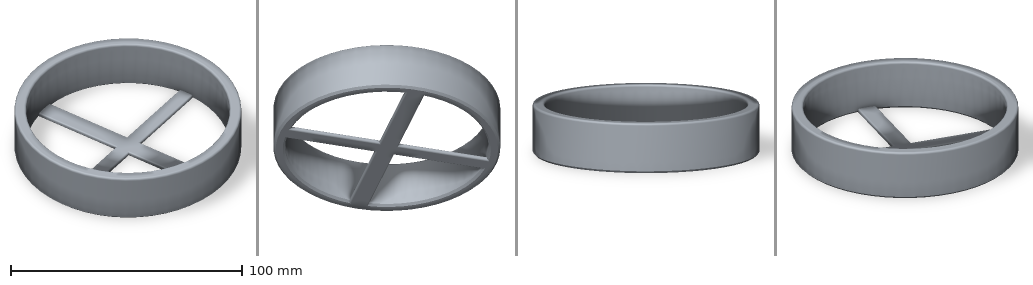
import cadquery as cq

outer_diameter = 98.0
inner_diameter = 88.0
height = 22.0
top_rounding = 1.0
bottom_chamfer = 1.0

x_bar_width = 8.4
y_bar_width = 6.9
bar_thickness = 2.0
bar_rounding = 0.7

outer_radius = outer_diameter / 2
inner_radius = inner_diameter / 2
mid_wall_radius = (outer_radius + inner_radius) / 2
bar_length = 2 * outer_radius


def make_ring():
    """Plain ring with a rounded top rim and a chamfered bottom rim."""
    ring = cq.Workplane("XY").circle(outer_radius).circle(inner_radius).extrude(height)
    ring = ring.faces(">Z").edges().fillet(top_rounding)
    return ring.faces("<Z").edges().chamfer(bottom_chamfer)


def make_bar(length_x, length_y, long_edges):
    """Bar along X or Y with all four long edges rounded."""
    bar = cq.Workplane("XY").rect(length_x, length_y).extrude(bar_thickness)
    return bar.edges(long_edges).fillet(bar_rounding)


def make_cross():
    """Two crossed bars, trimmed inside the ring wall."""
    x_bar = make_bar(bar_length, x_bar_width, "|X")
    y_bar = make_bar(y_bar_width, bar_length, "|Y")
    trim = cq.Workplane("XY").circle(mid_wall_radius).extrude(bar_thickness)
    return x_bar.union(y_bar).intersect(trim)


result = make_ring().union(make_cross())